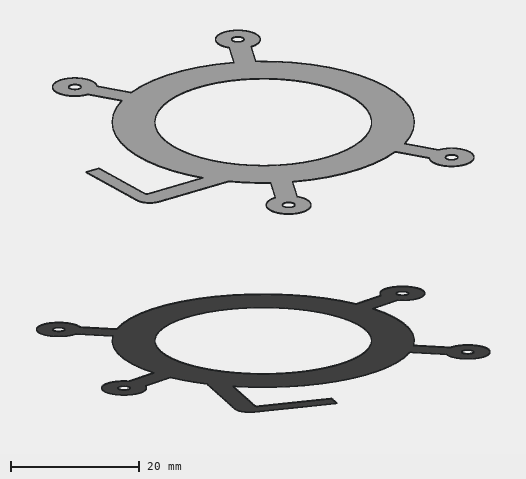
import cadquery as cq
import math

thickness = 0.14
overall_length = 63.5
overall_width = 57.2

ring_outer_diameter = 47.05
ring_inner_diameter = 33.7
ring_outer_radius = ring_outer_diameter / 2
ring_middle_radius = (ring_outer_diameter + ring_inner_diameter) / 4

pad_diameter = 7.0
hole_diameter = 2.0
arm_width = 3.4
pad_x = (overall_length - pad_diameter) / 2
pad_y = 15.7
pad_distance = math.hypot(pad_x, pad_y)
pad_angle = math.degrees(math.atan2(pad_y, pad_x))
arm_angles = (pad_angle, 180 - pad_angle, 180 + pad_angle, -pad_angle)

tail_right = 15.35
tail_leg_width = 3.4
tail_foot_width = 2.5
tail_left = -0.6
tail_bottom = ring_outer_radius - overall_width
tail_outer_radius = 2.5
tail_inner_radius = 0.4


def disc(diameter):
    return cq.Workplane("XY").circle(diameter / 2).extrude(thickness)


def arm_with_pad(angle):
    """Radial arm rooted inside the ring band, ending in a round pad."""
    arm_length = pad_distance - ring_middle_radius
    arm_center = (pad_distance + ring_middle_radius) / 2
    arm = (
        cq.Workplane("XY")
        .center(arm_center, 0)
        .rect(arm_length, arm_width)
        .extrude(thickness)
    )
    pad = disc(pad_diameter).translate((pad_distance, 0, 0))
    return arm.union(pad).rotate((0, 0, 0), (0, 0, 1), angle)


def tail():
    """Leg dropping from the ring band, then a foot turning towards -X."""
    inner_x = tail_right - tail_leg_width
    foot_top = tail_bottom + tail_foot_width
    leg_top = -math.sqrt(ring_middle_radius**2 - (tail_right - tail_leg_width / 2) ** 2)
    body = (
        cq.Workplane("XY")
        .moveTo(tail_left, tail_bottom)
        .lineTo(tail_right, tail_bottom)
        .lineTo(tail_right, leg_top)
        .lineTo(inner_x, leg_top)
        .lineTo(inner_x, foot_top)
        .lineTo(tail_left, foot_top)
        .close()
        .extrude(thickness)
    )
    outer_corner = cq.selectors.NearestToPointSelector((tail_right, tail_bottom, thickness / 2))
    inner_corner = cq.selectors.NearestToPointSelector((inner_x, foot_top, thickness / 2))
    body = body.edges("|Z").edges(outer_corner).fillet(tail_outer_radius)
    return body.edges("|Z").edges(inner_corner).fillet(tail_inner_radius)


plate = disc(ring_outer_diameter).union(tail())
for angle in arm_angles:
    plate = plate.union(arm_with_pad(angle))

plate = plate.cut(disc(ring_inner_diameter))
for side_x in (-1, 1):
    for side_y in (-1, 1):
        plate = plate.cut(disc(hole_diameter).translate((side_x * pad_x, side_y * pad_y, 0)))

result = plate